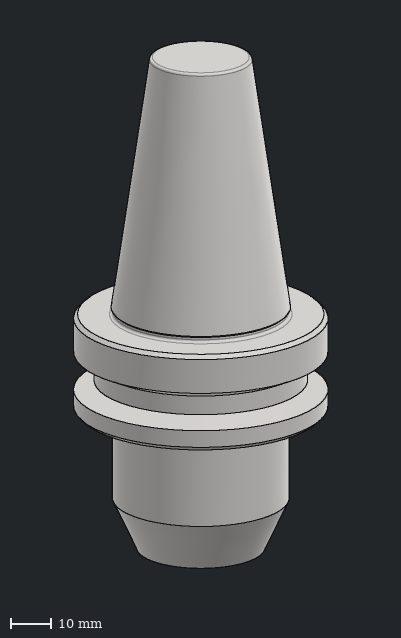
import cadquery as cq

total_height = 128.4
gauge_height = 62.9
flange_top = 61.1
groove_top_edge = 51.2
groove_bottom_edge = 41.5
flange_bottom = 36.1
nose_cone_height = 13.1

flange_radius = 63.0 / 2
groove_radius = 26.5
gauge_radius = 22.2
body_radius = 22.0
nose_radius = 15.9

taper_per_length = 7 / 24
groove_wall_height = 2.5
relief_step_height = 0.4
relief_radius = 21.8
flange_chamfer = 1.0
tip_rounding = 0.8
relief_fillet = 0.8
body_fillet = 1.3

taper_length = total_height - gauge_height
tip_radius = gauge_radius - taper_length * taper_per_length / 2

section = (
    cq.Workplane("XZ")
    .moveTo(0, 0)
    .lineTo(nose_radius, 0)
    .lineTo(body_radius, nose_cone_height)
    .lineTo(body_radius, flange_bottom)
    .lineTo(flange_radius, flange_bottom)
    .lineTo(flange_radius, groove_bottom_edge)
    .lineTo(groove_radius, groove_bottom_edge + groove_wall_height)
    .lineTo(groove_radius, groove_top_edge - groove_wall_height)
    .lineTo(flange_radius, groove_top_edge)
    .lineTo(flange_radius, flange_top)
    .lineTo(relief_radius, flange_top)
    .lineTo(relief_radius, gauge_height - relief_step_height)
    .lineTo(gauge_radius, gauge_height)
    .lineTo(tip_radius, total_height)
    .lineTo(0, total_height)
    .close()
)
holder = section.revolve(360, (0, 0, 0), (0, 1, 0))


def ring_edge(body, radius, height):
    """Select the circular edge of the given radius at the given height."""
    margin = 0.06
    ring = cq.selectors.BoxSelector(
        (-radius - margin, -radius - margin, height - margin),
        (radius + margin, radius + margin, height + margin),
        boundingbox=True,
    )
    inside = cq.selectors.BoxSelector(
        (-radius + margin, -radius + margin, height - margin),
        (radius - margin, radius - margin, height + margin),
        boundingbox=True,
    )
    return body.edges(ring - inside)


holder = ring_edge(holder, flange_radius, flange_top).chamfer(flange_chamfer)
holder = ring_edge(holder, flange_radius, flange_bottom).chamfer(flange_chamfer)
holder = ring_edge(holder, tip_radius, total_height).fillet(tip_rounding)

holder = ring_edge(holder, relief_radius, flange_top).fillet(relief_fillet)
holder = ring_edge(holder, body_radius, flange_bottom).fillet(body_fillet)

result = holder